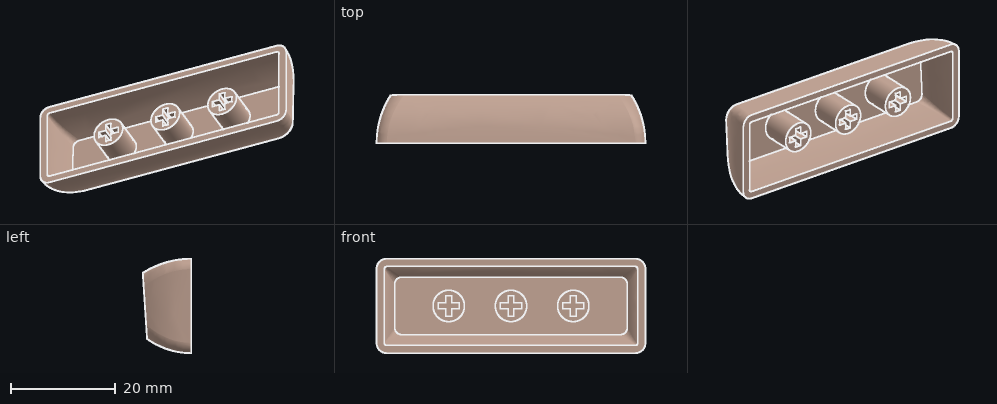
import cadquery as cq
import math


RIM_WIDTH = 51.44
RIM_HEIGHT = 18.1
RIM_CORNER_RADIUS = 2.0

FACE_WIDTH = 46.1
FACE_HEIGHT = 12.6
FACE_UPPER_DEPTH = 9.31
FACE_LOWER_DEPTH = 8.49
FACE_CORNER_RADIUS = 2.7

WALL = 1.5
CAVITY_RIM_CORNER_RADIUS = RIM_CORNER_RADIUS - WALL
FLOOR_CORNER_RADIUS = 1.3

STEM_DIAMETER = 6.0
STEM_SPACING = 11.9
STEM_COUNT = 3
STEM_SETBACK = 1.0
CROSS_WIDTH = 4.05
CROSS_HEIGHT = 3.95
CROSS_VERTICAL_BAR = 1.1
CROSS_HORIZONTAL_BAR = 1.15
CROSS_DEPTH = 4.0

SECTION_COUNT = 6

face_slope = (FACE_UPPER_DEPTH - FACE_LOWER_DEPTH) / FACE_HEIGHT
face_tilt = math.atan(face_slope)
face_middle_depth = (FACE_UPPER_DEPTH + FACE_LOWER_DEPTH) / 2


def wall_radius(drop, depth):
    """Radius of an arc that leaves the rim square to it and moves in by drop over depth."""
    return (drop**2 + depth**2) / (2 * drop)


height_drop = (RIM_HEIGHT - FACE_HEIGHT) / 2
upper_wall_radius = wall_radius(height_drop, FACE_UPPER_DEPTH)
lower_wall_radius = wall_radius(height_drop, FACE_LOWER_DEPTH)
end_wall_radius = wall_radius((RIM_WIDTH - FACE_WIDTH) / 2, face_middle_depth)


def inner_depth(inset):
    """Depth on the middle plane Z = 0 of the closed face moved inward by inset."""
    return face_middle_depth - inset / math.cos(face_tilt)


def sweep_to_face(radius, center_offset, tilt, inset):
    """Angle a wall arc turns through before it meets the closed face moved inward by inset.

    The arc is centered on the rim plane, center_offset from the middle of the cap toward
    the wall. A positive tilt makes the face deeper toward that wall.
    """
    center_to_face = inner_depth(inset) * math.cos(face_tilt) + center_offset * math.sin(tilt)
    return math.asin(center_to_face / radius) + tilt


def cap_form(inset, rim_corner_radius, face_corner_radius):
    """Solid bounded by the bulged walls and the closed face, all moved inward by inset."""
    upper_center = RIM_HEIGHT / 2 - upper_wall_radius
    lower_center = RIM_HEIGHT / 2 - lower_wall_radius
    end_center = RIM_WIDTH / 2 - end_wall_radius
    upper_radius = upper_wall_radius - inset
    lower_radius = lower_wall_radius - inset
    end_radius = end_wall_radius - inset
    upper_sweep = sweep_to_face(upper_radius, upper_center, face_tilt, inset)
    lower_sweep = sweep_to_face(lower_radius, lower_center, -face_tilt, inset)
    end_sweep = math.asin(inner_depth(inset) / end_radius)

    sections = []
    for index in range(SECTION_COUNT):
        progress = index / (SECTION_COUNT - 1)
        upper_y = upper_radius * math.sin(progress * upper_sweep)
        upper_z = upper_center + upper_radius * math.cos(progress * upper_sweep)
        lower_y = lower_radius * math.sin(progress * lower_sweep)
        lower_z = -lower_center - lower_radius * math.cos(progress * lower_sweep)
        width = 2 * (end_center + end_radius * math.cos(progress * end_sweep))
        height = math.hypot(upper_y - lower_y, upper_z - lower_z)
        corner_growth = progress**2 * (face_corner_radius - rim_corner_radius)
        section_plane = cq.Plane(
            origin=(0, (upper_y + lower_y) / 2, (upper_z + lower_z) / 2),
            xDir=(1, 0, 0),
            normal=(0, lower_z - upper_z, upper_y - lower_y),
        )
        corner_radius = rim_corner_radius + corner_growth
        outline = cq.Sketch().rect(width, height).vertices().fillet(corner_radius)
        sections.append(outline.moved(section_plane.location))
    return cq.Workplane("XY").placeSketch(*sections).loft()


def bar(width, height, length):
    """Rectangular bar centered on the Y axis that runs from Y = 0 toward +Y."""
    return cq.Workplane("XZ").rect(width, height).extrude(-length)


def make_cap():
    outside = cap_form(0, RIM_CORNER_RADIUS, FACE_CORNER_RADIUS)
    cavity = cap_form(WALL, CAVITY_RIM_CORNER_RADIUS, FLOOR_CORNER_RADIUS)
    return outside.cut(cavity)


def make_stem(x):
    """Round post with a cross socket, standing on the sloped floor of the cavity."""
    radius = STEM_DIAMETER / 2
    floor_above = inner_depth(WALL) + radius * face_slope
    floor_below = inner_depth(WALL) - radius * face_slope
    side = (
        cq.Workplane("YZ")
        .polyline([
            (STEM_SETBACK, -radius),
            (floor_below, -radius),
            (floor_above, radius),
            (STEM_SETBACK, radius),
        ])
        .close()
        .extrude(radius, both=True)
    )
    post = cq.Workplane("XZ").circle(radius).extrude(-FACE_UPPER_DEPTH).intersect(side)
    socket_bottom = STEM_SETBACK + CROSS_DEPTH
    across = bar(CROSS_WIDTH, CROSS_HORIZONTAL_BAR, socket_bottom)
    upright = bar(CROSS_VERTICAL_BAR, CROSS_HEIGHT, socket_bottom)
    return post.cut(across).cut(upright).translate((x, 0, 0))


cap = make_cap()
first_stem_x = -(STEM_COUNT - 1) / 2 * STEM_SPACING
stems = [make_stem(first_stem_x + index * STEM_SPACING) for index in range(STEM_COUNT)]

result = cq.Compound.makeCompound([cap.val(), *[stem.val() for stem in stems]])